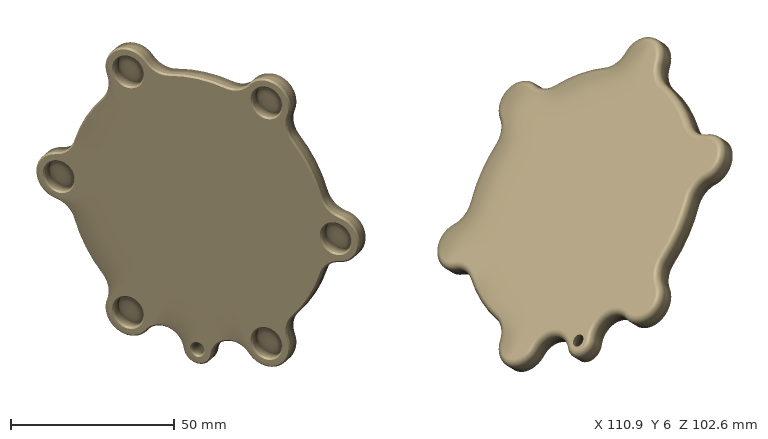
import cadquery as cq
import math

overall_width = 110.9
thickness = 6.0
disc_radius = 44.5
front_chamfer = 0.5
back_fillet = 2.0

lobe_count = 6
lobe_radius = 8.0
lobe_circle_radius = overall_width / 2 - lobe_radius
lobe_fillet = 8.0
pocket_diameter = 10.0
pocket_depth = 3.5

tab_radius = 5.0
tab_distance = 48.5
tab_angle = 270
tab_fillet = 7.0
tab_hole_diameter = 4.0


def polar(radius, angle):
    """Point in the XZ plane at an angle in degrees from +X."""
    return radius * math.cos(math.radians(angle)), radius * math.sin(math.radians(angle))


lobe_pitch = 360 / lobe_count
lobe_angles = [index * lobe_pitch for index in range(lobe_count)]
lobe_centers = [polar(lobe_circle_radius, angle) for angle in lobe_angles]


def fillet_center(first, second, radius):
    """Center of a circle touching two circles from outside, to the right of first -> second."""
    (x1, z1, r1), (x2, z2, r2) = first, second
    span = math.hypot(x2 - x1, z2 - z1)
    along_x = (x2 - x1) / span
    along_z = (z2 - z1) / span
    reach = r1 + radius
    along = (reach**2 - (r2 + radius) ** 2 + span**2) / (2 * span)
    aside = math.sqrt(reach**2 - along**2)
    return x1 + along * along_x + aside * along_z, z1 + along * along_z - aside * along_x


def touch_point(first, second):
    """Point where two circles that touch from outside meet."""
    (x1, z1, r1), (x2, z2, r2) = first, second
    share = r1 / (r1 + r2)
    return x1 + share * (x2 - x1), z1 + share * (z2 - z1)


def arc_middle(circle, start, end, turn):
    """Middle of the arc from start to end; turn is 1 for counterclockwise, -1 for clockwise."""
    x, z, radius = circle
    start_angle = math.atan2(start[1] - z, start[0] - x)
    end_angle = math.atan2(end[1] - z, end[0] - x)
    sweep = (turn * (end_angle - start_angle)) % (2 * math.pi)
    middle = start_angle + turn * sweep / 2
    return x + radius * math.cos(middle), z + radius * math.sin(middle)


def boundary_circles():
    """Circles followed counterclockwise by the outline: bulges and fillets in turn."""
    disc = (0, 0, disc_radius)
    tab = (*polar(tab_distance, tab_angle), tab_radius)
    bulges = []
    fillet_radii = []
    for index, angle in enumerate(lobe_angles):
        gap_angle = angle + lobe_pitch / 2
        gap_has_tab = gap_angle == tab_angle
        bulges += [(*lobe_centers[index], lobe_radius), tab if gap_has_tab else disc]
        fillet_radii += 2 * [tab_fillet if gap_has_tab else lobe_fillet]

    circles = []
    for index, bulge in enumerate(bulges):
        next_bulge = bulges[(index + 1) % len(bulges)]
        radius = fillet_radii[index]
        circles += [bulge, (*fillet_center(bulge, next_bulge, radius), radius)]
    return circles


def outline():
    circles = boundary_circles()
    start = touch_point(circles[-1], circles[0])
    path = cq.Workplane("XZ").moveTo(*start)
    for index, circle in enumerate(circles):
        end = touch_point(circle, circles[(index + 1) % len(circles)])
        turn = 1 if index % 2 == 0 else -1
        path = path.threePointArc(arc_middle(circle, start, end, turn), end)
        start = end
    return path.close()


plate = outline().extrude(-thickness)
plate = plate.faces(">Y").edges().fillet(back_fillet)

pockets = cq.Workplane("XZ").pushPoints(lobe_centers).circle(pocket_diameter / 2).extrude(-pocket_depth)
tab_hole = (
    cq.Workplane("XZ")
    .center(*polar(tab_distance, tab_angle))
    .circle(tab_hole_diameter / 2)
    .extrude(-thickness)
)
plate = plate.cut(pockets).cut(tab_hole)

result = plate.faces("<Y").edges().chamfer(front_chamfer)